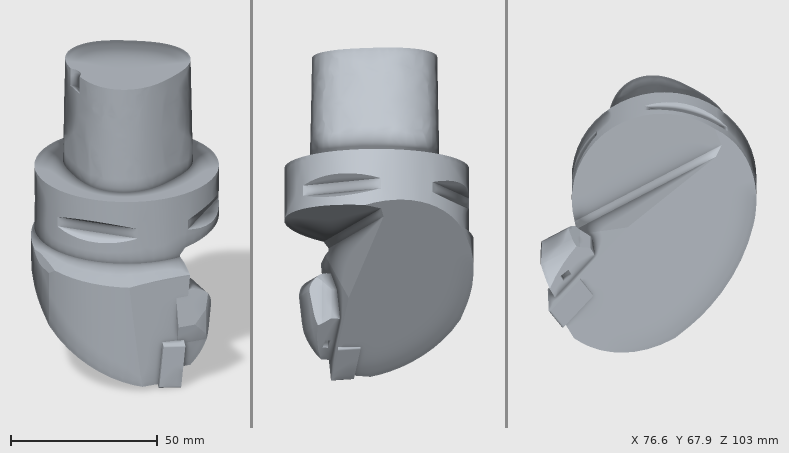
import cadquery as cq
import math

FLANGE_RADIUS = 31.5
FLANGE_HEIGHT = 23.0
REACH = 103.0

SHANK_HEIGHT = 37.9
SHANK_MEAN_RADIUS = 21.7
SHANK_LOBE = 1.6
SHANK_TOP_SCALE = 0.965
SHANK_POINTS = 36
NOTCH_RADIUS = 4.9
NOTCH_DEPTH = 6.3
NOTCH_CENTER_Y = -22.6

SLOT_COUNT = 4
SLOT_CENTER_Z = -11.9
SLOT_FLOOR_RADIUS = 27.9
SLOT_FLOOR_WIDTH = 3.5
SLOT_MOUTH_WIDTH = 7.8

HEAD_LEFT_X = -22.7
HEAD_FRONT_Y = -36.4
HEAD_BACK_Y = 13.6
HEAD_SIDE_X = 42.8
CONE_SLOPE = 0.243
FRONT_CHAMFER_DEPTH = 1.2
FRONT_CHAMFER_BOTTOM_Z = -27.2
FRONT_CHAMFER_SLOPE = 2.6
SIDE_TOP_X = 41.1
SIDE_TOP_Z = -25.8
SIDE_BOTTOM_Z = -63.2

UNDERSIDE_START_Z = -17.4
UNDERSIDE_SLOPE = 0.615

POCKET_FLOOR_Y = 6.2
POCKET_TOP_Z = -20.1
POCKET_CORNER = 2.1
POCKET_TOP_SLOPE = 0.084

TIP_X = 45.1
TIP_Y = 0.1
TIP_Z = -65.6
RAKE_NORMAL = (0.1, 1.0, -0.12)
RAKE_X_DIRECTION = (1.0, -0.1, 0.0)
INSERT_THICKNESS = 7.9
INSERT_EDGE_X = 13.7
INSERT_EDGE_Z = 8.4
INSERT_SIDE_X = -0.8
INSERT_SIDE_Z = 15.7
INSERT_CORNER_RADIUS = 0.6

NOSE_LEFT_X = 24.7
NOSE_RIGHT_X = 43.3
NOSE_TOP_Z = -31.1
NOSE_SHOULDER_Z = -37.7
NOSE_FLANK_Y = 12.4
NOSE_FLANK_Z = -45.3
NOSE_END_Y = 4.7
NOSE_END_Z = -58.7
NOSE_UNDERSIDE_GAP = 4.1
NOSE_CREST_START_X = 29.9
NOSE_CREST_END_X = 40.2
NOSE_BULGE_Z = -43.3
NOSE_RECESS_SIZE = (3.1, 2.1, 4.1)
NOSE_RECESS_CENTER = (35.5, 5.2, -54.6)

RAKE_PLANE = cq.Plane(origin=(TIP_X, TIP_Y, TIP_Z), xDir=RAKE_X_DIRECTION, normal=RAKE_NORMAL)


def lobed_wire(scale, z):
    """Closed curve with three rounded lobes, one of them pointing to +Y."""
    points = []
    for index in range(SHANK_POINTS):
        angle = 2 * math.pi * index / SHANK_POINTS
        radius = scale * (SHANK_MEAN_RADIUS - SHANK_LOBE * math.sin(3 * angle))
        points.append(cq.Vector(radius * math.cos(angle), radius * math.sin(angle), z))
    return cq.Wire.assembleEdges([cq.Edge.makeSpline(points, periodic=True)])


def make_shank():
    base = lobed_wire(1.0, 0)
    top = lobed_wire(SHANK_TOP_SCALE, SHANK_HEIGHT)
    shank = cq.Workplane(cq.Solid.makeLoft([base, top], True))
    notch = (
        cq.Workplane("XY", origin=(0, NOTCH_CENTER_Y, SHANK_HEIGHT - NOTCH_DEPTH))
        .circle(NOTCH_RADIUS)
        .extrude(NOTCH_DEPTH)
    )
    return shank.cut(notch)


def make_flange():
    flange = cq.Workplane("XY").circle(FLANGE_RADIUS).extrude(-FLANGE_HEIGHT)
    depth = FLANGE_RADIUS - SLOT_FLOOR_RADIUS
    flare = (SLOT_MOUTH_WIDTH - SLOT_FLOOR_WIDTH) / 2 / depth
    slot_profile = [
        (SLOT_FLOOR_RADIUS, SLOT_CENTER_Z - SLOT_FLOOR_WIDTH / 2),
        (FLANGE_RADIUS + depth, SLOT_CENTER_Z - SLOT_FLOOR_WIDTH / 2 - 2 * depth * flare),
        (FLANGE_RADIUS + depth, SLOT_CENTER_Z + SLOT_FLOOR_WIDTH / 2 + 2 * depth * flare),
        (SLOT_FLOOR_RADIUS, SLOT_CENTER_Z + SLOT_FLOOR_WIDTH / 2),
    ]
    slot = cq.Workplane("XZ").polyline(slot_profile).close().extrude(FLANGE_RADIUS, both=True)
    for index in range(SLOT_COUNT):
        angle = (index + 0.5) * 360 / SLOT_COUNT
        flange = flange.cut(slot.rotate((0, 0, 0), (0, 0, 1), angle))
    return flange


def make_head():
    """Offset head with a conical top, a flat front and a sloping +X side."""
    head = (
        cq.Workplane("XY", origin=(0, 0, -FLANGE_HEIGHT))
        .moveTo(HEAD_LEFT_X, -math.sqrt(FLANGE_RADIUS**2 - HEAD_LEFT_X**2))
        .threePointArc((-6.7, -32.8), (10.3, HEAD_FRONT_Y))
        .lineTo(16.3, HEAD_FRONT_Y)
        .threePointArc((33.3, -27.8), (HEAD_SIDE_X, -13.3))
        .lineTo(HEAD_SIDE_X, HEAD_BACK_Y)
        .lineTo(HEAD_LEFT_X, HEAD_BACK_Y)
        .close()
        .extrude(-REACH)
    )
    cone_fall = CONE_SLOPE * (REACH - FLANGE_RADIUS)
    cone_envelope = (
        cq.Workplane("XZ")
        .polyline([
            (0, -FLANGE_HEIGHT),
            (FLANGE_RADIUS, -FLANGE_HEIGHT),
            (REACH, -FLANGE_HEIGHT - cone_fall),
            (REACH, -REACH),
            (0, -REACH),
        ])
        .close()
        .revolve(360, (0, 0, 0), (0, 1, 0))
    )
    front_chamfer = (
        cq.Workplane("YZ")
        .polyline([
            (HEAD_FRONT_Y, FRONT_CHAMFER_BOTTOM_Z),
            (HEAD_FRONT_Y, FRONT_CHAMFER_BOTTOM_Z + FRONT_CHAMFER_DEPTH * FRONT_CHAMFER_SLOPE),
            (
                HEAD_FRONT_Y + FRONT_CHAMFER_DEPTH,
                FRONT_CHAMFER_BOTTOM_Z + FRONT_CHAMFER_DEPTH * FRONT_CHAMFER_SLOPE,
            ),
        ])
        .close()
        .extrude(REACH, both=True)
    )
    side_relief = (
        cq.Workplane("XZ")
        .polyline([
            (SIDE_TOP_X, 0),
            (SIDE_TOP_X, SIDE_TOP_Z),
            (HEAD_SIDE_X, SIDE_BOTTOM_Z),
            (REACH, SIDE_BOTTOM_Z),
            (REACH, 0),
        ])
        .close()
        .extrude(REACH, both=True)
    )
    return head.intersect(cone_envelope).cut(front_chamfer).cut(side_relief)


def make_below_underside(gap):
    """Space below the slanted underside, raised by a vertical gap."""
    left_z = UNDERSIDE_START_Z + gap + UNDERSIDE_SLOPE * (REACH - FLANGE_RADIUS)
    right_z = UNDERSIDE_START_Z + gap - UNDERSIDE_SLOPE * (REACH + FLANGE_RADIUS)
    return (
        cq.Workplane("XZ")
        .polyline([(-REACH, left_z), (REACH, right_z), (REACH, -2 * REACH), (-REACH, -2 * REACH)])
        .close()
        .extrude(REACH, both=True)
    )


def make_rake_space():
    """Everything on the open side of the insert's rake plane."""
    return cq.Workplane(RAKE_PLANE).rect(2 * REACH, 2 * REACH).extrude(REACH)


def make_pocket():
    corner_y = POCKET_FLOOR_Y + POCKET_CORNER
    back_z = POCKET_TOP_Z + POCKET_TOP_SLOPE * (REACH - corner_y)
    front_z = POCKET_TOP_Z - POCKET_TOP_SLOPE * (REACH + corner_y)
    upright = (
        cq.Workplane("YZ")
        .moveTo(POCKET_FLOOR_Y, -REACH)
        .lineTo(POCKET_FLOOR_Y, POCKET_TOP_Z - POCKET_CORNER)
        .lineTo(corner_y, POCKET_TOP_Z)
        .lineTo(REACH, back_z)
        .lineTo(REACH, -REACH)
        .close()
        .extrude(REACH, both=True)
    )
    below_top = (
        cq.Workplane("YZ")
        .polyline([(-REACH, front_z), (REACH, back_z), (REACH, -REACH), (-REACH, -REACH)])
        .close()
        .extrude(REACH, both=True)
    )
    head_only = cq.Workplane("XY", origin=(0, 0, -FLANGE_HEIGHT)).rect(2 * REACH, 2 * REACH).extrude(-REACH)
    return upright.union(make_rake_space().intersect(below_top).intersect(head_only))


def make_nose():
    nose = (
        cq.Workplane("YZ", origin=(NOSE_LEFT_X, 0, 0))
        .moveTo(0, NOSE_TOP_Z)
        .lineTo(POCKET_FLOOR_Y, NOSE_TOP_Z)
        .threePointArc((11.6, -33.2), (HEAD_BACK_Y, NOSE_SHOULDER_Z))
        .lineTo(NOSE_FLANK_Y, NOSE_FLANK_Z)
        .threePointArc((9.6, -53.0), (NOSE_END_Y, NOSE_END_Z))
        .lineTo(0, NOSE_END_Z)
        .close()
        .extrude(NOSE_RIGHT_X - NOSE_LEFT_X)
    )
    plan = (
        cq.Workplane("XY", origin=(0, 0, NOSE_END_Z))
        .polyline([
            (NOSE_LEFT_X, 0),
            (NOSE_LEFT_X, 7.4),
            (27.3, 10.0),
            (NOSE_CREST_START_X, HEAD_BACK_Y),
            (NOSE_CREST_END_X, HEAD_BACK_Y),
            (42.4, 10.6),
            (NOSE_RIGHT_X, POCKET_FLOOR_Y),
            (NOSE_RIGHT_X, 0),
        ])
        .close()
        .extrude(NOSE_TOP_Z - NOSE_END_Z)
    )
    elevation = (
        cq.Workplane("XZ")
        .polyline([
            (NOSE_LEFT_X, NOSE_END_Z),
            (NOSE_LEFT_X, NOSE_SHOULDER_Z),
            (NOSE_CREST_START_X, NOSE_TOP_Z),
            (SIDE_TOP_X, NOSE_TOP_Z),
            (NOSE_RIGHT_X, NOSE_BULGE_Z),
            (42.0, -50.0),
            (42.0, NOSE_END_Z),
        ])
        .close()
        .extrude(-HEAD_BACK_Y)
    )
    recess = cq.Workplane("XY").box(*NOSE_RECESS_SIZE).translate(NOSE_RECESS_CENTER)
    nose = nose.intersect(plan).intersect(elevation)
    return nose.cut(make_below_underside(NOSE_UNDERSIDE_GAP)).cut(recess)


def make_insert():
    """Rhombic cutting insert square to its rake plane, with a rounded cutting tip."""
    outline = [
        (0, 0),
        (-INSERT_EDGE_X, -INSERT_EDGE_Z),
        (INSERT_SIDE_X - INSERT_EDGE_X, -INSERT_EDGE_Z - INSERT_SIDE_Z),
        (INSERT_SIDE_X, -INSERT_SIDE_Z),
    ]
    return (
        cq.Workplane(RAKE_PLANE)
        .polyline(outline)
        .close()
        .extrude(-INSERT_THICKNESS)
        .edges(cq.selectors.ParallelDirSelector(cq.Vector(*RAKE_NORMAL)))
        .fillet(INSERT_CORNER_RADIUS)
    )


def make_holder(insert):
    holder = make_shank().union(make_flange()).union(make_head())
    holder = holder.cut(make_below_underside(0)).cut(make_pocket())
    return holder.union(make_nose()).cut(insert)


insert = make_insert()
holder = make_holder(insert)

result = cq.Compound.makeCompound([holder.val(), insert.val()])